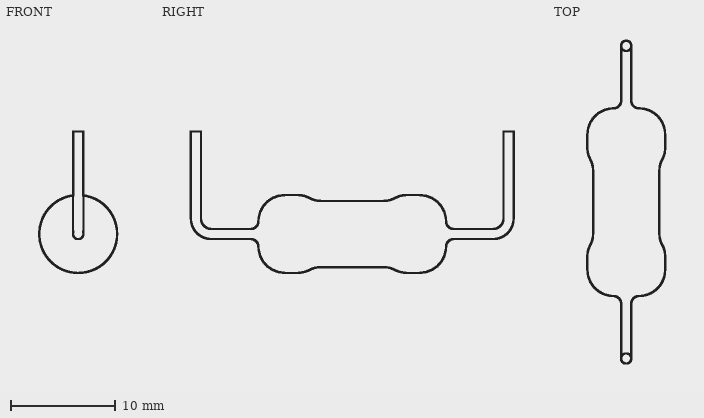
import cadquery as cq
import math

lead_span = 31.0
lead_diameter = 1.0
lead_top = 9.85
bend_radius = 1.5

cap_diameter = 7.5
waist_diameter = 6.4
body_length = 18.05
cap_round_radius = 2.55
cap_inner_edge = 5.18
waist_edge = 3.05

lead_radius = lead_diameter / 2
cap_radius = cap_diameter / 2
waist_radius = waist_diameter / 2
half_body = body_length / 2
lead_axis_y = lead_span / 2 - lead_radius

flare_outer_radius = cap_radius - cap_round_radius
flare_radius = flare_outer_radius - lead_radius
flare_tip = half_body + flare_radius
diagonal = math.sqrt(0.5)


def make_half_body():
    """Revolve the +Y half: waist, S-shaped shoulder, rounded cap and lead flare."""
    shoulder_middle = ((cap_radius + waist_radius) / 2, (cap_inner_edge + waist_edge) / 2)
    cap_round_start = half_body - cap_round_radius
    cap_round_middle = (
        flare_outer_radius + cap_round_radius * diagonal,
        cap_round_start + cap_round_radius * diagonal,
    )
    flare_middle = (
        flare_outer_radius - flare_radius * diagonal,
        flare_tip - flare_radius * diagonal,
    )
    return (
        cq.Workplane("XY")
        .lineTo(waist_radius, 0)
        .lineTo(waist_radius, waist_edge)
        .tangentArcPoint(shoulder_middle, relative=False)
        .tangentArcPoint((cap_radius, cap_inner_edge), relative=False)
        .lineTo(cap_radius, cap_round_start)
        .threePointArc(cap_round_middle, (flare_outer_radius, half_body))
        .threePointArc(flare_middle, (lead_radius, flare_tip))
        .lineTo(0, flare_tip)
        .close()
        .revolve(360, (0, 0, 0), (0, 1, 0))
    )


def make_lead():
    """Sweep the +Y lead from inside the body, around its bend and up to its top."""
    bend_start = lead_axis_y - bend_radius
    bend_middle = (bend_start + bend_radius * diagonal, bend_radius * (1 - diagonal))
    path = (
        cq.Workplane("YZ")
        .moveTo(half_body, 0)
        .lineTo(bend_start, 0)
        .threePointArc(bend_middle, (lead_axis_y, bend_radius))
        .lineTo(lead_axis_y, lead_top)
    )
    return cq.Workplane("XZ", origin=(0, half_body, 0)).circle(lead_radius).sweep(path)


half_resistor = make_half_body().union(make_lead())
result = half_resistor.union(half_resistor.mirror("XZ"))